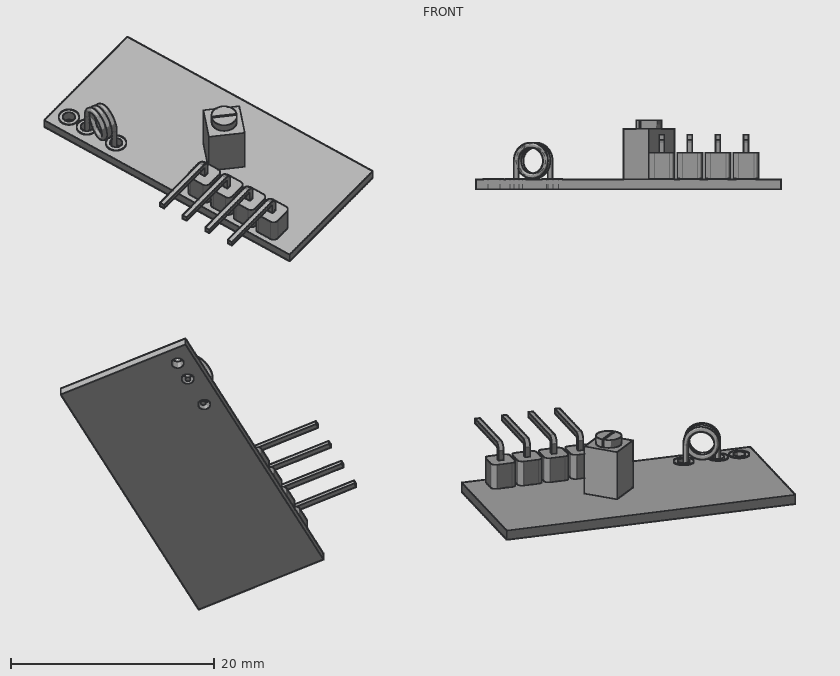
import cadquery as cq
import math


board_length = 30.0
board_width = 13.77
board_thickness = 1.0
pad_diameter = 2.0
pad_thickness = 0.1
pad_hole_diameter = 1.2
pad_top = board_thickness + pad_thickness

row_y = 1.75
wire_hole_x = [1.75, 3.93, 7.5]

trimmer_x = 17.0
trimmer_y = 6.75
trimmer_side = 3.57
trimmer_height = 4.98
trimmer_turn = 45.0
screw_diameter = 2.52
screw_height = 0.85
slot_width = 0.18

wire_diameter = 0.5
coil_turns = 2.5
coil_diameter = 3.03
leg_spacing = 3.33
coil_first_leg_x = 3.95
coil_axis_z = board_thickness + 1.85

pin_count = 4
pin_pitch = 2.75
first_pin_x = 18.27
block_side = 2.52
block_corner_radius = 0.5
block_top = board_thickness + 2.65
pin_side = 0.5
pin_bend_inner_radius = 0.2
pin_top = board_thickness + 4.4
pin_overhang = 5.25

pin_positions = [(first_pin_x + i * pin_pitch, row_y) for i in range(pin_count)]
wire_holes = [(x, row_y) for x in wire_hole_x]


def make_board():
    """Plate with raised pads; the wire pads have through holes, the others carry the header blocks."""
    plate = cq.Workplane("XY").box(board_length, board_width, board_thickness, centered=False)
    pads = (
        cq.Workplane("XY", origin=(0, 0, board_thickness))
        .pushPoints(wire_holes + pin_positions)
        .circle(pad_diameter / 2)
        .extrude(pad_thickness)
    )
    holes = cq.Workplane("XY").pushPoints(wire_holes).circle(pad_hole_diameter / 2).extrude(pad_top)
    return plate.union(pads).cut(holes)


def make_trimmer():
    """Square block and the screw head, whose slot is as deep as the head is high."""
    block = cq.Workplane("XY").rect(trimmer_side, trimmer_side).extrude(trimmer_height)
    top = block.faces(">Z").workplane()
    screw = top.circle(screw_diameter / 2).extrude(screw_height, combine=False)
    slot = top.rect(screw_diameter, slot_width).extrude(screw_height, combine=False)
    trimmer = block.union(screw.cut(slot))
    trimmer = trimmer.rotate((0, 0, 0), (0, 0, 1), trimmer_turn)
    return trimmer.translate((trimmer_x, trimmer_y, board_thickness))


def make_coil():
    """Helix with a horizontal axis, turned so that both legs stand on the row of holes."""
    turn = math.acos(coil_diameter / leg_spacing)
    coil_length = leg_spacing * math.sin(turn)
    radius = coil_diameter / 2
    axis = cq.Vector(math.sin(turn), math.cos(turn), 0)
    toward_first_leg = cq.Vector(-math.cos(turn), math.sin(turn), 0)
    first_leg = cq.Vector(coil_first_leg_x, row_y, coil_axis_z)
    axis_start = first_leg - toward_first_leg * radius

    helix = cq.Wire.makeHelix(coil_length / coil_turns, coil_length, radius)
    helix = helix.moved(cq.Plane(axis_start, toward_first_leg, axis).location)
    winding = (
        cq.Workplane("XY", origin=first_leg.toTuple())
        .circle(wire_diameter / 2)
        .sweep(cq.Workplane(obj=helix), isFrenet=True)
    )
    legs = (
        cq.Workplane("XY")
        .pushPoints([(first_leg.x, row_y), (first_leg.x + leg_spacing, row_y)])
        .circle(wire_diameter / 2)
        .extrude(coil_axis_z)
    )
    return winding.union(legs)


def make_header_pin(x, y):
    """Block with rounded upright edges and a square pin bent forward over the board's edge."""
    block = (
        cq.Workplane("XY", origin=(x, y, pad_top))
        .rect(block_side, block_side)
        .extrude(block_top - pad_top)
        .edges("|Z")
        .fillet(block_corner_radius)
    )
    back = y + pin_side / 2
    front = y - pin_side / 2
    underside = pin_top - pin_side
    outer_radius = pin_bend_inner_radius + pin_side
    pin = (
        cq.Workplane("YZ", origin=(x - pin_side / 2, 0, 0))
        .moveTo(front, block_top)
        .lineTo(back, block_top)
        .lineTo(back, pin_top - outer_radius)
        .radiusArc((back - outer_radius, pin_top), -outer_radius)
        .lineTo(-pin_overhang, pin_top)
        .lineTo(-pin_overhang, underside)
        .lineTo(front - pin_bend_inner_radius, underside)
        .radiusArc((front, underside - pin_bend_inner_radius), pin_bend_inner_radius)
        .close()
        .extrude(pin_side)
    )
    return block.union(pin)


board = make_board()
trimmer = make_trimmer()
coil = make_coil()
header_pins = [make_header_pin(x, y) for x, y in pin_positions]

result = cq.Compound.makeCompound(
    [board.val(), trimmer.val(), coil.solids().val(), *[pin.val() for pin in header_pins]]
)